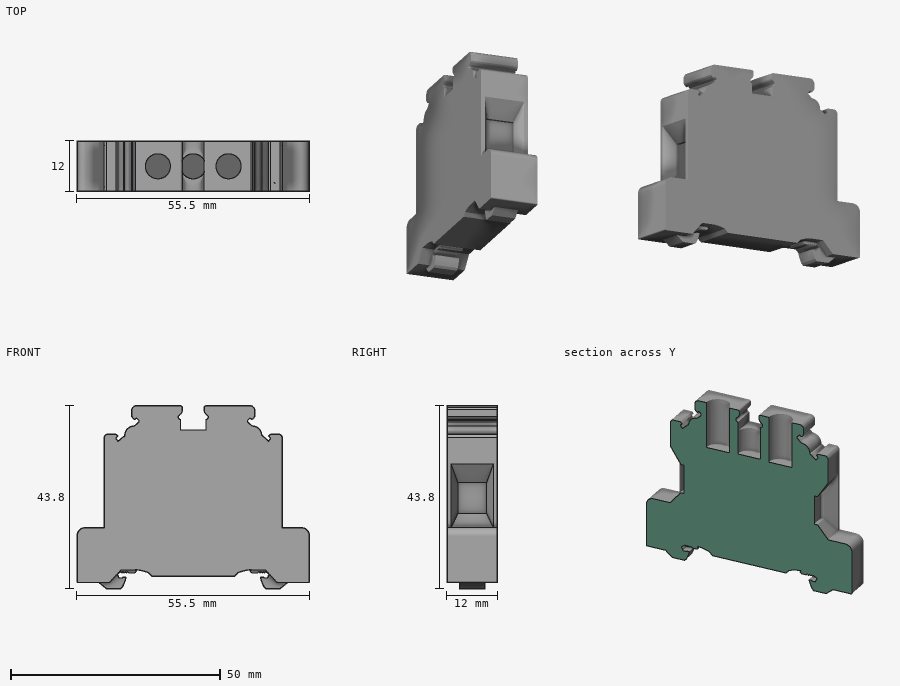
import cadquery as cq

length = 55.5
width = 12.0
height = 43.75

base_z = 1.5
arch_z = 3.0
rail_recess_z = 4.55
shoulder_z = 14.65
tower_z = 36.95
slot_floor_z = 37.95
half_length = length / 2
tower_half = 21.3
block_half = 14.7

shoulder_radius = 2.0
base_radius = 0.35
slot_mouth_radius = 0.45

right_groove_wall = [(16.4, 36.75), (18.0, 35.3)]
left_groove_wall = [(16.4, 36.4), (16.7, 36.35), (17.7, 35.45), (18.0, 35.3)]

hole_diameter = 6.0
hole_spacing = 8.45
screw_hole_depth = 12.0
slot_hole_depth = 6.0
slot_half = hole_diameter / 2
slot_mouth_half = 2.6

mouth_width = 10.1
mouth_top_z = 29.8
throat_width = 6.9
throat_top_z = 25.4
throat_bottom_z = 18.0
funnel_depth = 2.9
throat_depth = 0.85

foot_width = 6.0
tooth_count = 3
tooth_pitch = 0.55
tooth_tip_z = 3.8
tooth_root_z = 4.1
first_root_x = 17.3
foot_embed_z = rail_recess_z + 0.55


def corner_arc(sketch, start, corner, end):
    """Line to start, then a quarter circle that rounds off the corner and stops at end."""
    bulge = 0.5 ** 0.5
    middle = tuple(c + (1 - bulge) * (s + e - 2 * c) for s, c, e in zip(start, corner, end))
    return sketch.lineTo(*start).threePointArc(middle, end)


def with_mirror(shape):
    """Join a shape with its mirror image across the X = 0 plane."""
    return shape.union(shape.mirror("YZ"))


def extrude_across(sketch, thickness):
    """Close a profile drawn in XZ and extrude it, centred on Y."""
    return sketch.close().extrude(thickness / 2, both=True)


def housing_half(groove_wall):
    """A half of the housing, drawn on +X; groove_wall lists the inner wall points of the marker groove."""
    outline = cq.Workplane("XZ").moveTo(0, slot_floor_z).lineTo(slot_half, slot_floor_z)

    outline = outline.lineTo(slot_half, 40.4).lineTo(3.35, 40.55)
    outline = outline.threePointArc((3.55, 41.0), (3.35, 41.45))
    outline = outline.lineTo(2.9, 41.9).threePointArc((2.65, 42.25), (slot_mouth_half, 42.6))
    outline = corner_arc(
        outline,
        (slot_mouth_half, height - slot_mouth_radius),
        (slot_mouth_half, height),
        (slot_mouth_half + slot_mouth_radius, height),
    )

    outline = outline.lineTo(13.75, height).lineTo(14.1, 43.6).lineTo(14.5, 43.3).lineTo(block_half, 42.8)
    outline = outline.lineTo(block_half, 41.2).lineTo(14.5, 40.85)
    outline = outline.lineTo(14.0, 40.4).lineTo(13.55, 40.8)
    outline = outline.lineTo(13.0, 40.25).lineTo(13.0, 39.9).lineTo(13.9, 39.05)

    outline = outline.lineTo(14.2, 38.9).threePointArc((15.7, 38.25), groove_wall[0])
    for point in groove_wall[1:]:
        outline = outline.lineTo(*point)
    outline = outline.lineTo(18.5, 35.95).lineTo(18.0, 36.5).lineTo(18.4, 36.9).lineTo(18.65, tower_z)

    outline = outline.lineTo(20.35, tower_z).lineTo(20.75, 36.9).lineTo(21.1, 36.6).lineTo(tower_half, 36.2)
    outline = outline.lineTo(tower_half, shoulder_z)
    outline = corner_arc(
        outline,
        (half_length - shoulder_radius, shoulder_z),
        (half_length, shoulder_z),
        (half_length, shoulder_z - shoulder_radius),
    )
    outline = corner_arc(
        outline,
        (half_length, base_z + base_radius),
        (half_length, base_z),
        (half_length - base_radius, base_z),
    )

    outline = outline.lineTo(20.05, base_z).lineTo(17.2, rail_recess_z).lineTo(13.75, rail_recess_z)
    outline = outline.threePointArc((12.25, 4.35), (10.75, 3.9))
    outline = outline.lineTo(9.9, arch_z).lineTo(0, arch_z)
    return extrude_across(outline, width)


def foot():
    """The +X rail foot: a hook below a short toothed bar."""
    outline = cq.Workplane("XZ").moveTo(22.55, foot_embed_z).lineTo(22.55, base_z)
    outline = outline.lineTo(20.7, 0).lineTo(17.35, 0).lineTo(16.85, 0.5)
    outline = outline.threePointArc((16.4, 1.6), (16.05, 2.65)).lineTo(16.15, 2.8)

    outline = outline.lineTo(16.75, 2.8).lineTo(16.9, 2.6).lineTo(17.75, 2.6)
    outline = outline.lineTo(17.9, 3.1).threePointArc((18.15, 3.4), (18.0, 3.6))
    outline = outline.lineTo(first_root_x, tooth_root_z)

    for tooth in range(tooth_count):
        root_x = first_root_x - tooth * tooth_pitch
        outline = outline.lineTo(root_x - tooth_pitch / 2, tooth_tip_z)
        outline = outline.lineTo(root_x - tooth_pitch, tooth_root_z)
    bar_start_x = first_root_x - (tooth_count + 0.5) * tooth_pitch
    outline = outline.lineTo(bar_start_x, tooth_tip_z).lineTo(14.0, tooth_tip_z)
    outline = outline.lineTo(13.6, 4.2).lineTo(13.9, rail_recess_z).lineTo(13.9, foot_embed_z)
    return extrude_across(outline, foot_width)


def wire_entry():
    """Cutter for the +X wire entry: a tapered funnel and a short straight throat."""
    mouth_height = mouth_top_z - shoulder_z
    mouth_z = (mouth_top_z + shoulder_z) / 2
    throat_height = throat_top_z - throat_bottom_z
    throat_z = (throat_top_z + throat_bottom_z) / 2
    funnel = (
        cq.Workplane("YZ", origin=(tower_half, 0, mouth_z))
        .rect(mouth_width, mouth_height)
        .workplane(offset=-funnel_depth)
        .center(0, throat_z - mouth_z)
        .rect(throat_width, throat_height)
        .loft(ruled=True)
    )
    throat = (
        cq.Workplane("YZ", origin=(tower_half - funnel_depth, 0, throat_z))
        .rect(throat_width, throat_height)
        .extrude(-throat_depth)
    )
    return funnel.union(throat)


def vertical_hole(x, top_z, depth):
    """Cutter for a blind hole going down from top_z."""
    return cq.Workplane("XY", origin=(x, 0, top_z)).circle(hole_diameter / 2).extrude(-depth)


right_half = housing_half(right_groove_wall)
left_half = housing_half(left_groove_wall).mirror("YZ")
result = right_half.union(left_half).union(with_mirror(foot()))
result = result.cut(with_mirror(wire_entry()))
for hole_x in (-hole_spacing, hole_spacing):
    result = result.cut(vertical_hole(hole_x, height, screw_hole_depth))
result = result.cut(vertical_hole(0, slot_floor_z, slot_hole_depth))